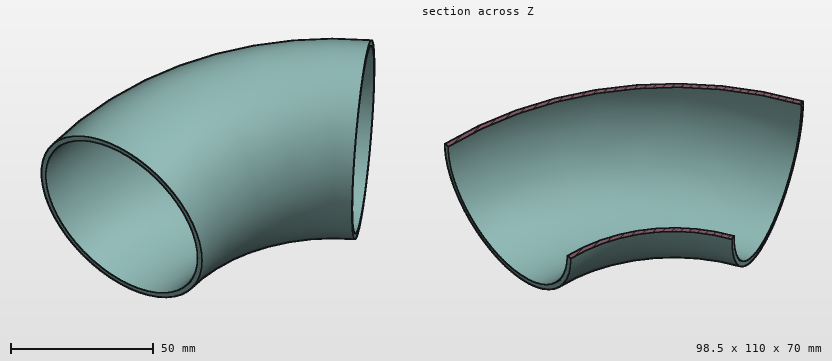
import cadquery as cq
import math

length_y = 110.0
outer_diameter = 70.0
wall = 2.0
bend_angle = 60.0

outer_radius = outer_diameter / 2
inner_radius = outer_radius - wall

bend_radius = length_y / math.sin(math.radians(bend_angle)) - outer_radius

bend_axis_start = (bend_radius, 0, 0)
bend_axis_end = (bend_radius, -1, 0)
result = (
    cq.Workplane("XZ")
    .circle(outer_radius)
    .circle(inner_radius)
    .revolve(bend_angle, bend_axis_start, bend_axis_end)
)